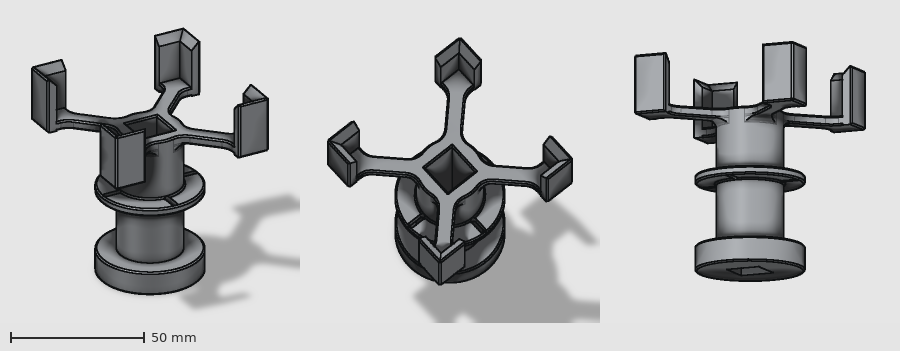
import cadquery as cq
import math

total_height = 79.4
span = 65.6
edge_chamfer = 0.6

base_radius = 20.6
base_height = 9.5
shaft_radius = 12.7
flange_radius = base_radius
flange_bottom = 33.25
flange_thickness = 3.2
slot_width = 2.2

arm_bottom = 57.0
arm_top = 60.65
arm_width = 6.5
arm_fillet = 6.35
underside_fillet = 2.4

post_length = 12.8
wall_thickness = 3.8
bore_width = 13.25

half_span = span / 2
pad_inner = half_span - post_length
wall_inner = half_span - wall_thickness
flange_top = flange_bottom + flange_thickness
fillet_bottom = arm_bottom - underside_fillet
quarter_turns = (0, 90, 180, 270)


def cylinder(radius, bottom, top):
    return cq.Workplane("XY").workplane(offset=bottom).circle(radius).extrude(top - bottom)


def square_block(width, bottom, top, center=0):
    """Square block between two heights, centred at (center, center)."""
    plane = cq.Workplane("XY", origin=(center, center, bottom))
    return plane.rect(width, width).extrude(top - bottom)


def flared_square(width, depth, top):
    """Square frustum flaring outward at 45 degrees up to `top`."""
    top_width = width + 2 * depth
    return (
        cq.Workplane("XY", origin=(0, 0, top - depth))
        .rect(width, width)
        .workplane(offset=depth)
        .rect(top_width, top_width)
        .loft()
    )


def at_quarter_turns(body):
    """Union of the body and its copies turned about Z."""
    combined = cq.Workplane("XY")
    for angle in quarter_turns:
        combined = combined.add(body.rotate((0, 0, 0), (0, 0, 1), angle))
    return combined.combine()


def make_flange():
    """Flange disc with conical collars onto the shaft and four radial slots."""
    disc = cylinder(flange_radius, flange_bottom, flange_top).edges().chamfer(edge_chamfer)
    collar_radius = shaft_radius + edge_chamfer
    collar_bottom = flange_bottom - edge_chamfer
    collar_top = flange_top + edge_chamfer
    collar_profile = [
        (0, collar_bottom),
        (shaft_radius, collar_bottom),
        (collar_radius, flange_bottom),
        (collar_radius, flange_top),
        (shaft_radius, collar_top),
        (0, collar_top),
    ]
    collar = cq.Workplane("XZ").polyline(collar_profile).close().revolve()

    slot_end = flange_radius - edge_chamfer
    slot_middle = (shaft_radius + slot_end) / 2
    slot = (
        cq.Workplane("XY", origin=(slot_middle, 0, collar_bottom))
        .slot2D(slot_end - shaft_radius, slot_width)
        .extrude(collar_top - collar_bottom)
    )
    return disc.union(collar).cut(at_quarter_turns(slot))


def arm_slab(inset, hub_fillet, bottom, top):
    """Arm along +X with its end pad, set in from the full plan outline by `inset`."""
    half_width = arm_width / 2 - inset
    diagonal = math.sqrt(2)
    eighth_turn = math.pi / 4

    reach = shaft_radius + hub_fillet
    touch_angle = math.asin((half_width + hub_fillet) / reach)
    hub_center_x = reach * math.cos(touch_angle)
    hub_sweep = math.pi / 2 - touch_angle
    hub_touch_x = shaft_radius * math.cos(touch_angle)
    hub_touch_y = shaft_radius * math.sin(touch_angle)
    hub_middle_x = hub_center_x - hub_fillet * math.sin(hub_sweep / 2)
    hub_middle_y = half_width + hub_fillet * (1 - math.cos(hub_sweep / 2))

    pad_fillet = arm_fillet + inset
    pad_start = pad_inner + inset
    pad_center_x = pad_start * diagonal + half_width - pad_fillet * math.tan(eighth_turn / 2)
    pad_middle_x = pad_center_x + pad_fillet * math.sin(eighth_turn / 2)
    pad_middle_y = half_width + pad_fillet * (1 - math.cos(eighth_turn / 2))
    pad_touch_x = pad_center_x + pad_fillet * math.sin(eighth_turn)
    pad_touch_y = half_width + pad_fillet * (1 - math.cos(eighth_turn))

    pad_end = wall_inner + 2 * edge_chamfer
    return (
        cq.Workplane("XY", origin=(0, 0, bottom))
        .moveTo(hub_touch_x, 0)
        .lineTo(hub_touch_x, hub_touch_y)
        .threePointArc((hub_middle_x, hub_middle_y), (hub_center_x, half_width))
        .lineTo(pad_center_x, half_width)
        .threePointArc((pad_middle_x, pad_middle_y), (pad_touch_x, pad_touch_y))
        .lineTo((pad_end + pad_start) / diagonal, (pad_end - pad_start) / diagonal)
        .lineTo(pad_end * diagonal, 0)
        .mirrorX()
        .extrude(top - bottom)
    )


def on_diagonals(arm):
    """Four copies of an arm, turned onto the diagonals."""
    return at_quarter_turns(arm.rotate((0, 0, 0), (0, 0, 1), 45))


def make_fillet_ring():
    """Ring-shaped quarter-round fillet between the shaft and the arm underside plane."""
    outer = shaft_radius + underside_fillet
    sag = underside_fillet * (1 - math.sqrt(0.5))
    return (
        cq.Workplane("XZ")
        .moveTo(0, fillet_bottom)
        .lineTo(shaft_radius, fillet_bottom)
        .threePointArc((shaft_radius + sag, arm_bottom - sag), (outer, arm_bottom))
        .lineTo(0, arm_bottom)
        .close()
        .revolve()
    )


def make_spider():
    """Hub and arms, chamfered above and below, with fillets from the arms into the shaft."""
    touch_sine = (arm_width / 2 + arm_fillet) / (shaft_radius + arm_fillet)
    inset_half_width = arm_width / 2 - edge_chamfer
    inset_fillet = (shaft_radius * touch_sine - inset_half_width) / (1 - touch_sine)

    chamfer_top = arm_bottom + edge_chamfer
    upper = arm_slab(0, arm_fillet, chamfer_top, arm_top)
    lower = arm_slab(edge_chamfer, inset_fillet, fillet_bottom, arm_bottom)
    bevel_ends = [lower.faces(">Z").wires().val(), upper.faces("<Z").wires().val()]
    bevel = cq.Workplane(cq.Solid.makeLoft(bevel_ends, True))

    plate = cylinder(shaft_radius, chamfer_top, arm_top).union(on_diagonals(upper))
    plate = plate.faces(">Z").edges().chamfer(edge_chamfer)
    hub = cylinder(shaft_radius, fillet_bottom, chamfer_top)
    underside = lower.intersect(make_fillet_ring()).union(bevel)
    return hub.union(on_diagonals(underside)).union(plate)


def make_posts():
    """L-shaped corner posts with inward-sloping tops."""
    center = (pad_inner + half_span) / 2
    block = square_block(post_length, arm_bottom, total_height, center)
    block = block.faces(">X or >Y").edges().chamfer(edge_chamfer)
    recess = square_block(2 * wall_inner, arm_bottom, total_height)
    slope = wall_thickness - edge_chamfer
    lead_in = flared_square(2 * wall_inner, slope, total_height)
    return at_quarter_turns(block.cut(recess).cut(lead_in))


def make_bore():
    """Square through bore with a chamfered mouth at the top."""
    bore = square_block(bore_width, 0, arm_top)
    mouth = flared_square(bore_width, edge_chamfer, arm_top)
    return bore.union(mouth)


base = cylinder(base_radius, 0, base_height).edges().chamfer(edge_chamfer)
shaft = cylinder(shaft_radius, 0, fillet_bottom)

result = (
    base.union(shaft)
    .union(make_flange())
    .union(make_spider())
    .union(make_posts())
    .cut(make_bore())
)